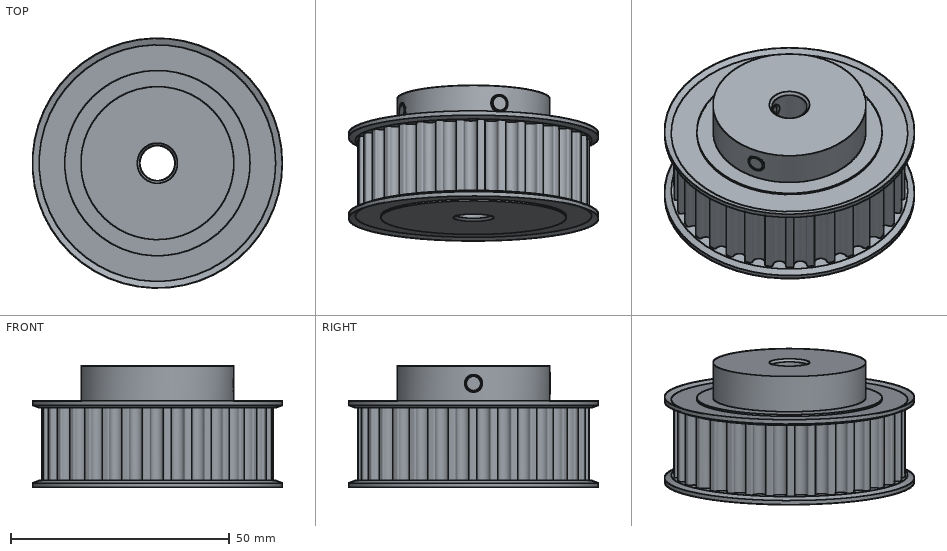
import cadquery as cq
import math

tooth_count = 34
belt_pitch = 5.0
belt_pitch_line_offset = 0.57
pitch_diameter = tooth_count * belt_pitch / math.pi
tip_radius = pitch_diameter / 2 - belt_pitch_line_offset
tooth_angle = 360.0 / tooth_count
tooth_phase = -0.3

groove_depth = 2.06
groove_floor_radius = 1.49
tip_rounding = 0.43

flange_diameter = 57.2
flange_flat_diameter = 54.1
flange_thickness = 1.0
rim_offset = 0.6
flange_seat_diameter = 42.4
seat_projection = 0.4

rim_to_rim = 19.8
hub_length = 8.0
total_height = rim_to_rim + hub_length
teeth_bottom = flange_thickness + rim_offset
teeth_top = rim_to_rim - teeth_bottom

hub_diameter = 35.0
bore_diameter = 8.0
bore_chamfer = 0.6
set_screw_diameter = 4.0
set_screw_height = rim_to_rim + hub_length / 2
set_screw_chamfer = 0.35
set_screw_inner_radius = bore_diameter / 2
set_screw_outer_radius = hub_diameter / 2
set_screw_directions = ((1, 0, 0), (0, 1, 0))


def polar(radius, angle):
    return (radius * math.cos(angle), radius * math.sin(angle))


def disc(diameter, bottom, top):
    return cq.Workplane("XY").workplane(offset=bottom).circle(diameter / 2).extrude(top - bottom)


def groove_cutter():
    """One tooth space on the +X axis, including the rounding of both tooth tips."""
    rounding_centre_radius = tip_radius - tip_rounding
    rounding_centre_y = groove_floor_radius + tip_rounding
    rounding_angle = math.asin(rounding_centre_y / rounding_centre_radius)
    wall_x = rounding_centre_radius * math.cos(rounding_angle)
    tip_x, tip_y = polar(tip_radius, rounding_angle)
    middle_angle = (rounding_angle - math.pi / 2) / 2
    middle_x = wall_x + tip_rounding * math.cos(middle_angle)
    middle_y = rounding_centre_y + tip_rounding * math.sin(middle_angle)

    floor_x = tip_radius - groove_depth
    floor_end_x = floor_x + groove_floor_radius
    outside_x = flange_diameter / 2
    return (
        cq.Workplane("XY")
        .workplane(offset=teeth_bottom)
        .moveTo(floor_end_x, -groove_floor_radius)
        .threePointArc((floor_x, 0), (floor_end_x, groove_floor_radius))
        .lineTo(wall_x, groove_floor_radius)
        .threePointArc((middle_x, middle_y), (tip_x, tip_y))
        .lineTo(outside_x, tip_y)
        .lineTo(outside_x, -tip_y)
        .lineTo(tip_x, -tip_y)
        .threePointArc((middle_x, -middle_y), (wall_x, -groove_floor_radius))
        .close()
        .extrude(teeth_top - teeth_bottom)
    )


def toothed_ring():
    ring = disc(2 * tip_radius, teeth_bottom, teeth_top)
    cutter = groove_cutter()
    cutters = cq.Workplane("XY")
    for index in range(tooth_count):
        angle = tooth_phase + (index + 0.5) * tooth_angle
        cutters.add(cutter.rotate((0, 0, 0), (0, 0, 1), angle))
    return ring.cut(cq.Compound.makeCompound(cutters.vals()))


def upper_flange():
    """Sheet flange above the teeth, with its seat standing proud of the flat."""
    flat_radius = flange_flat_diameter / 2
    rim_radius = flange_diameter / 2
    flat_top = teeth_top + flange_thickness
    rim_bottom = teeth_top + rim_offset
    sheet = (
        cq.Workplane("XZ")
        .moveTo(0, teeth_top)
        .lineTo(flat_radius, teeth_top)
        .lineTo(rim_radius, rim_bottom)
        .lineTo(rim_radius, rim_to_rim)
        .lineTo(flat_radius, flat_top)
        .lineTo(0, flat_top)
        .close()
        .revolve(360, (0, 0, 0), (0, 1, 0))
    )
    return sheet.union(disc(flange_seat_diameter, flat_top, flat_top + seat_projection))


def lower_flange():
    middle_plane = (0, 0, rim_to_rim / 2)
    return upper_flange().mirror("XY", middle_plane)


def bore_cutter():
    """Through bore with a chamfer at both ends."""
    radius = bore_diameter / 2
    bottom = rim_offset - seat_projection
    return (
        cq.Workplane("XZ")
        .moveTo(0, bottom)
        .lineTo(radius + bore_chamfer, bottom)
        .lineTo(radius, bottom + bore_chamfer)
        .lineTo(radius, total_height - bore_chamfer)
        .lineTo(radius + bore_chamfer, total_height)
        .lineTo(0, total_height)
        .close()
        .revolve(360, (0, 0, 0), (0, 1, 0))
    )


def radial_cylinder(direction, inner_radius, outer_radius):
    """Cylinder of the set screw diameter lying along a radius of the hub."""
    axis = cq.Vector(direction)
    start = axis * inner_radius + cq.Vector(0, 0, set_screw_height)
    length = outer_radius - inner_radius
    return cq.Workplane(cq.Solid.makeCylinder(set_screw_diameter / 2, length, start, axis))


def set_screw(direction):
    """Screw filling its hole, with both end edges chamfered."""
    body = radial_cylinder(direction, set_screw_inner_radius, set_screw_outer_radius)
    return body.edges("%CIRCLE").chamfer(set_screw_chamfer)


result = toothed_ring().union(upper_flange()).union(lower_flange())
result = result.union(disc(hub_diameter, teeth_top, total_height))
result = result.cut(bore_cutter())
for direction in set_screw_directions:
    result = result.cut(radial_cylinder(direction, 0, hub_diameter))
    result = result.union(set_screw(direction))